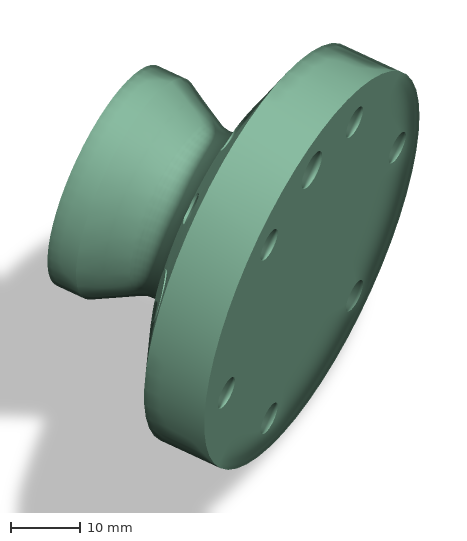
import cadquery as cq
import math

overall_length = 34.0
flange_diameter = 63.0
flange_rim_width = 10.0
plug_diameter = 35.0
plug_length = 4.75

face_depth = 4.0
face_angle = math.radians(25)

throat_x = 14.0
throat_radius = 13.28
waist_arc_radius = 5.0

bolt_circle_radius = 25.0
bolt_hole_diameter = 5.0
bolt_hole_count = 6
locating_hole_diameter = 6.0
locating_hole_angle = 90.0

pad_diameter = 8.0
pad_height = 0.1
pad_sink = 1.0
pad_center_radius = 26.7
pad_angle = 30.0

flange_radius = flange_diameter / 2
plug_radius = plug_diameter / 2
rim_x = overall_length - flange_rim_width
shoulder_x = rim_x - face_depth
shoulder_radius = flange_radius - face_depth / math.tan(face_angle)


def tangent_point(center, radius, point, side):
    """Point where a line from an outside point touches a circle; side is +1 or -1."""
    dx = point[0] - center[0]
    dy = point[1] - center[1]
    direction = math.atan2(dy, dx) + side * math.acos(radius / math.hypot(dx, dy))
    return (center[0] + radius * math.cos(direction), center[1] + radius * math.sin(direction))


def make_body():
    """Revolve the half profile, drawn as (x, radius), around the X axis."""
    plug_edge = (plug_length, plug_radius)
    shoulder = (shoulder_x, shoulder_radius)
    arc_center = (throat_x, throat_radius + waist_arc_radius)
    waist_start = tangent_point(arc_center, waist_arc_radius, plug_edge, 1)
    waist_end = tangent_point(arc_center, waist_arc_radius, shoulder, -1)
    profile = (
        cq.Workplane("XY")
        .moveTo(0, 0)
        .lineTo(0, plug_radius)
        .lineTo(*plug_edge)
        .lineTo(*waist_start)
        .threePointArc((throat_x, throat_radius), waist_end)
        .lineTo(*shoulder)
        .lineTo(rim_x, flange_radius)
        .lineTo(overall_length, flange_radius)
        .lineTo(overall_length, 0)
        .close()
    )
    return profile.revolve(360, (0, 0, 0), (1, 0, 0))


def flange_hole(diameter, angle):
    """Cutter parallel to X on the bolt circle, spanning the flange; angle runs from +Y to +Z."""
    y = bolt_circle_radius * math.cos(math.radians(angle))
    z = bolt_circle_radius * math.sin(math.radians(angle))
    return (
        cq.Workplane("YZ", origin=(throat_x, 0, 0))
        .center(y, z)
        .circle(diameter / 2)
        .extrude(overall_length - throat_x)
    )


def make_pad():
    """Disc square to the conical face, placed on the -Y side and turned up toward +Z."""
    center_x = rim_x - (flange_radius - pad_center_radius) * math.tan(face_angle)
    normal = cq.Vector(-math.cos(face_angle), -math.sin(face_angle), 0)
    face_point = cq.Vector(center_x, -pad_center_radius, 0)
    base = face_point - normal * pad_sink
    disc = cq.Solid.makeCylinder(pad_diameter / 2, pad_sink + pad_height, base, normal)
    return cq.Workplane(disc).rotate((0, 0, 0), (1, 0, 0), -pad_angle)


result = make_body().union(make_pad())

for index in range(bolt_hole_count):
    result = result.cut(flange_hole(bolt_hole_diameter, index * 360 / bolt_hole_count))

result = result.cut(flange_hole(locating_hole_diameter, locating_hole_angle))